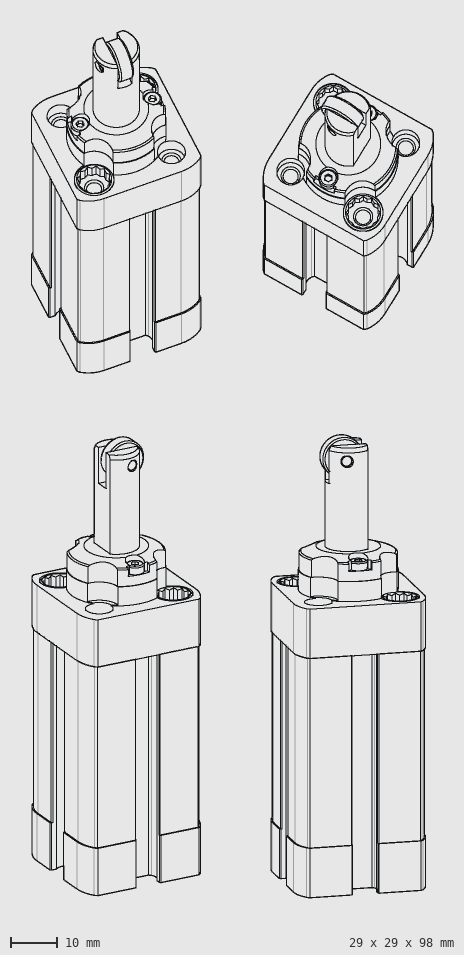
import cadquery as cq
import math

length = 98.0
cap_half = 14.5
cap_height = 11.0
housing_height = 64.0
barrel_inset = 0.3
side_flat_half = 9.0
corner_radius = 8.6
corner_end_half = 12.9
chamfer_start_half = 12.3

slot_mouth_half = 3.0
slot_throat_half = 2.8
slot_lip_depth = 0.3
slot_throat_depth = 1.5
slot_cavity_half = 3.6
slot_cavity_depth = 3.0
slot_wall_end_half = 3.2
slot_wall_end_depth = 4.5
slot_floor_half = 2.7
slot_floor_depth = 5.0

mount_pitch_half = 9.0
mount_hole_diameter = 3.2
mount_mouth_diameter = 4.1
counterbore_diameter = 6.0
counterbore_depth = 3.1
scallop_diameter = 8.5
scallop_floor_rise = 0.2
socket_corner_diameter = 7.3
socket_rim_diameter = 7.5
socket_groove_depth = 0.5
plain_corners = [(1, 1), (-1, -1)]
socket_corners = [(-1, 1), (1, -1)]

neck_diameter = 21.5
neck_top = 68.4
collar_diameter = 21.2
collar_top = 73.6
collar_face_diameter = 13.9
collar_cone_diameter = 20.4
collar_cone_drop = 1.1
collar_shoulder_drop = 1.4

screw_pitch_half = 8.4
screw_recess_diameter = 4.1
screw_notch_width = 5.1
screw_notch_start = 9.4
screw_seat = 70.7
screw_head_diameter = 3.9
screw_head_top = 72.5
screw_head_chamfer = 0.3
screw_shank_diameter = 2.0
screw_shank_length = 4.9
screw_hex_diameter = 1.8
screw_hex_depth = 1.0

rod_diameter = 10.0
rod_flat = 3.4
rod_top = 96.4
rod_chamfer = 1.0
rod_chamfer_width = 0.4
fork_width = 3.3
fork_floor = 88.1

roller_diameter = 9.0
roller_x = 1.5
roller_z = length - roller_diameter / 2
roller_edge = 0.4
axle_diameter = 2.5
axle_half_length = 4.3
axle_chamfer = 0.2

corners = plain_corners + socket_corners
screw_sides = (-1, 1)


def cylinder(diameter, bottom, top, x=0.0, y=0.0):
    """Upright cylinder between two heights."""
    return cq.Workplane("XY", origin=(x, y, bottom)).circle(diameter / 2).extrude(top - bottom)


def hexagon_prism(corner_diameter, bottom, top, x, y):
    """Upright hexagonal prism, sized across its corners."""
    return cq.Workplane("XY", origin=(x, y, bottom)).polygon(6, corner_diameter).extrude(top - bottom)


def upright_block(x_size, y_size, bottom, top, x=0.0, y=0.0):
    """Upright rectangular block between two heights."""
    return cq.Workplane("XY", origin=(x, y, bottom)).rect(x_size, y_size).extrude(top - bottom)


def cross_cylinder(diameter, half_length):
    """Cylinder along Y on the roller's axis, centred on the rod."""
    base = cq.Workplane("XZ", origin=(roller_x, half_length, roller_z))
    return base.circle(diameter / 2).extrude(2 * half_length)


def square_outline():
    """Cap outline: square with each corner swept by an arc that ends in a small chamfer."""
    arc_centre = (cap_half - corner_radius, side_flat_half)
    reach = corner_end_half - arc_centre[0]
    end_angle = math.acos(reach / corner_radius)

    def on_arc(angle):
        return (
            arc_centre[0] + corner_radius * math.cos(angle),
            arc_centre[1] + corner_radius * math.sin(angle),
        )

    arc_mid = on_arc(end_angle / 2)
    arc_end = on_arc(end_angle)
    quarter = (
        cq.Workplane("XY")
        .lineTo(cap_half, 0)
        .lineTo(cap_half, side_flat_half)
        .threePointArc(arc_mid, arc_end)
        .lineTo(chamfer_start_half, cap_half)
        .lineTo(0, cap_half)
        .close()
        .extrude(1)
    )
    half = quarter.union(quarter.mirror("YZ"))
    return half.union(half.mirror("XZ")).clean().faces("<Z").wires().val()


def prism(outline, bottom, top):
    """Solid raised from a flat outline between two heights."""
    return cq.Workplane(outline).toPending().extrude(top - bottom).translate((0, 0, bottom))


def slot_cutter(face, bottom, top):
    """Undercut slot that opens at the plane x = face."""
    throat_x = cap_half - slot_throat_depth
    cavity_x = cap_half - slot_cavity_depth
    wall_end_x = cap_half - slot_wall_end_depth
    floor_x = cap_half - slot_floor_depth
    half = (
        cq.Workplane("XY", origin=(0, 0, bottom))
        .moveTo(face, 0)
        .lineTo(face, slot_mouth_half)
        .lineTo(face - slot_lip_depth, slot_throat_half)
        .lineTo(throat_x, slot_throat_half)
        .threePointArc((cavity_x, slot_cavity_half), (wall_end_x, slot_wall_end_half))
        .lineTo(floor_x, slot_floor_half)
        .lineTo(floor_x, 0)
        .close()
        .extrude(top - bottom)
    )
    return half.union(half.mirror("XZ"))


def socket_cutter(x, y):
    """Twelve-point socket, made of two crossed hexagons, inside a conical rim and a V-groove."""
    floor = housing_height - counterbore_depth
    hexagon = hexagon_prism(socket_corner_diameter, floor, housing_height, x, y)
    half_step = 360 / 12
    socket = hexagon.union(hexagon.rotate((x, y, 0), (x, y, 1), half_step))
    rim_radius = socket_rim_diameter / 2
    groove_radius = scallop_diameter / 2
    lead_in = [(0, -rim_radius), (rim_radius, 0), (0, 0)]
    groove = [(rim_radius, 0), (groove_radius, -socket_groove_depth), (groove_radius, 0)]
    for profile in (lead_in, groove):
        ring = cq.Workplane("XZ").polyline(profile).close().revolve(360, (0, 0, 0), (0, 1, 0))
        ring = ring.translate((x, y, housing_height))
        socket = socket.union(ring.intersect(cylinder(scallop_diameter, floor, housing_height, x, y)))
    return socket


def flatted_bar(bottom, top):
    """Round bar with a flat on its -X side."""
    side_x = -rod_flat - rod_diameter / 2
    side = upright_block(rod_diameter, rod_diameter, bottom, top, x=side_x)
    return cylinder(rod_diameter, bottom, top).cut(side)


def cut_corner_scallops(body):
    """Clears the space above the four mounting holes."""
    for sx, sy in corners:
        bottom = housing_height
        if (sx, sy) in plain_corners:
            bottom += scallop_floor_rise
        x = sx * mount_pitch_half
        y = sy * mount_pitch_half
        body = body.cut(cylinder(scallop_diameter, bottom, collar_top, x, y))
    return body


def make_housing():
    """Slotted barrel, both caps and the neck, with the mounting holes and the screw holes."""
    outline = square_outline()
    barrel_outline = cq.Workplane(outline).toPending().offset2D(-barrel_inset).val()
    head_bottom = housing_height - cap_height
    rear = prism(outline, 0, cap_height)
    barrel = prism(barrel_outline, cap_height, head_bottom)
    head = prism(outline, head_bottom, housing_height)
    for i in range(4):
        turn = 90 * i
        rear = rear.cut(slot_cutter(cap_half, 0, cap_height).rotate((0, 0, 0), (0, 0, 1), turn))
        barrel_slot = slot_cutter(cap_half - barrel_inset, cap_height, head_bottom)
        barrel = barrel.cut(barrel_slot.rotate((0, 0, 0), (0, 0, 1), turn))
    neck = cut_corner_scallops(cylinder(neck_diameter, housing_height, neck_top))
    body = rear.union(barrel).union(head).union(neck)

    floor = housing_height - counterbore_depth
    mouth_depth = mount_mouth_diameter / 2
    mouth_cone = cq.Workplane(cq.Solid.makeCone(mouth_depth, 0, mouth_depth, dir=cq.Vector(0, 0, -1)))
    for sx, sy in corners:
        x = sx * mount_pitch_half
        y = sy * mount_pitch_half
        body = body.cut(cylinder(mount_hole_diameter, 0, housing_height, x, y))
        body = body.cut(mouth_cone.translate((x, y, floor)))
    for sx, sy in plain_corners:
        x = sx * mount_pitch_half
        y = sy * mount_pitch_half
        body = body.cut(cylinder(counterbore_diameter, floor, neck_top, x, y))
    for sx, sy in socket_corners:
        body = body.cut(socket_cutter(sx * mount_pitch_half, sy * mount_pitch_half))
    for side in screw_sides:
        body = body.cut(screw_shank(side))
    return body


def screw_shank(side):
    """Plain shank of a collar screw, which also forms its hole."""
    return cylinder(
        screw_shank_diameter, screw_seat - screw_shank_length, screw_seat, 0, side * screw_pitch_half
    )


def make_collar():
    """Scalloped collar with a conical top, a flatted bore and two screw recesses."""
    profile = [
        (0, neck_top),
        (collar_diameter / 2, neck_top),
        (collar_diameter / 2, collar_top - collar_shoulder_drop),
        (collar_cone_diameter / 2, collar_top - collar_cone_drop),
        (collar_face_diameter / 2, collar_top),
        (0, collar_top),
    ]
    body = cq.Workplane("XZ").polyline(profile).close().revolve(360, (0, 0, 0), (0, 1, 0))
    body = cut_corner_scallops(body)
    body = body.cut(flatted_bar(neck_top, collar_top))
    for side in screw_sides:
        y = side * screw_pitch_half
        recess = cylinder(screw_recess_diameter, screw_seat, collar_top, 0, y)
        notch_y = side * (screw_notch_start + screw_notch_width / 2)
        notch = upright_block(screw_notch_width, screw_notch_width, screw_seat, collar_top, y=notch_y)
        body = body.cut(recess).cut(notch).cut(screw_shank(side))
    return body


def make_screw(side):
    """Collar screw with a hexagon socket that ends in a conical point."""
    y = side * screw_pitch_half
    head = cylinder(screw_head_diameter, screw_seat, screw_head_top, 0, y)
    head = head.faces(">Z").chamfer(screw_head_chamfer)
    socket_floor = screw_head_top - screw_hex_depth
    hexagon = hexagon_prism(screw_hex_diameter, socket_floor, screw_head_top, 0, y)
    tip_radius = screw_hex_diameter / 2 * math.cos(math.pi / 6)
    tip = cq.Solid.makeCone(0, tip_radius, tip_radius, pnt=cq.Vector(0, y, socket_floor - tip_radius))
    return head.union(screw_shank(side)).cut(hexagon).cut(cq.Workplane(tip))


def make_rod():
    """Rod that stands on the neck, with a chamfered top, a fork and a cross hole for the axle."""
    body = cylinder(rod_diameter, neck_top, rod_top).faces(">Z").chamfer(rod_chamfer, rod_chamfer_width)
    body = body.intersect(flatted_bar(neck_top, rod_top))
    fork = upright_block(rod_diameter, fork_width, fork_floor, rod_top)
    hole = cross_cylinder(axle_diameter, rod_diameter / 2)
    return body.cut(fork).cut(hole)


def make_roller():
    """Roller that fills the fork, with axle ends that sit in the rod's cross hole."""
    wheel = cross_cylinder(roller_diameter, fork_width / 2).faces("<Y or >Y").chamfer(roller_edge)
    axle = cross_cylinder(axle_diameter, axle_half_length).faces("<Y or >Y").chamfer(axle_chamfer)
    return wheel.union(axle)


housing = make_housing()
collar = make_collar()
rod = make_rod()
roller = make_roller()
screws = [make_screw(side).val() for side in screw_sides]

result = cq.Compound.makeCompound([housing.val(), collar.val(), rod.val(), roller.val(), *screws])